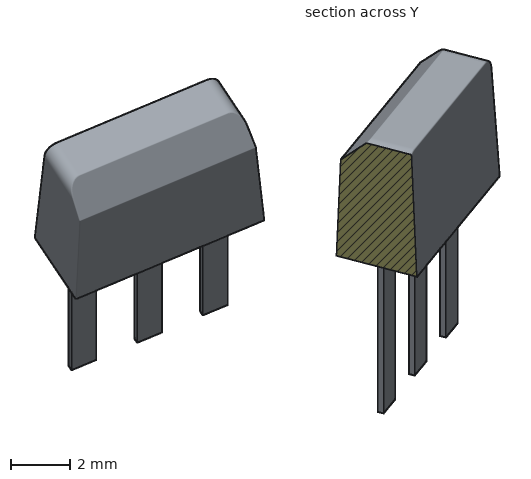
import cadquery as cq

body_depth = 3.0
body_width = 7.2
body_height = 5.0
face_inset = 0.2
side_inset = 0.3
shoulder_radius = 0.5
bevel_drop = 1.03
edge_radius = 0.05

lead_count = 3
lead_pitch = 2.5
lead_width = 0.95
lead_thickness = 0.22
lead_length = 6.0
lead_center_x = -0.1


def drafted_prism(profile_plane, base, top, length):
    """Symmetric trapezoid on the given plane, extruded both ways to the given total length."""
    outline = [
        (-base / 2, 0),
        (base / 2, 0),
        (top / 2, body_height),
        (-top / 2, body_height),
    ]
    return cq.Workplane(profile_plane).polyline(outline).close().extrude(length / 2, both=True)


def make_body():
    """Tapered block with rounded shoulders, a bevel along +X and softened edges."""
    wide_profile = drafted_prism("YZ", body_width, body_width - 2 * side_inset, body_depth)
    wide_profile = wide_profile.edges(">Z and |X").fillet(shoulder_radius)
    narrow_profile = drafted_prism("XZ", body_depth, body_depth - 2 * face_inset, body_width)
    body = wide_profile.intersect(narrow_profile)

    bevel_z = body_height - bevel_drop
    bevel_x = body_depth / 2 - face_inset * bevel_z / body_height
    bevel_cutter = (
        cq.Workplane("XZ")
        .moveTo(bevel_x - bevel_drop, body_height)
        .line(2 * bevel_drop, 0)
        .line(0, -2 * bevel_drop)
        .close()
        .extrude(body_width, both=True)
    )
    body = body.cut(bevel_cutter)

    return body.edges("not(<Z or |X)").fillet(edge_radius)


def make_leads():
    """Row of equal flat leads hanging from the base, centred along Y."""
    return (
        cq.Workplane("XY")
        .center(lead_center_x, 0)
        .rarray(1, lead_pitch, 1, lead_count)
        .rect(lead_thickness, lead_width)
        .extrude(-lead_length)
    )


result = make_body().union(make_leads())